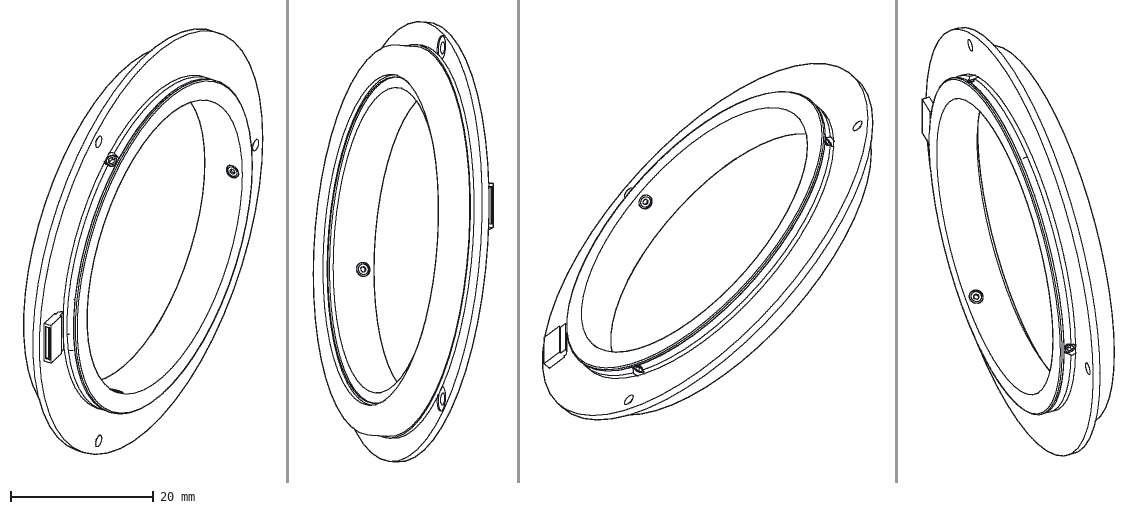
import cadquery as cq
import math

total_length = 7.0
flange_diameter = 62.0
flange_front = 3.7
flange_back = 4.8
spigot_diameter = 55.0
spigot_round = 0.3
shoulder_diameter = 55.5
shoulder_front = 3.15
hub_diameter = 49.0
hub_radius = hub_diameter / 2
rear_chamfer = 0.2
bore_diameter = 43.0

recess_diameter = 46.6
recess_depth = 0.6
inner_recess_diameter = 46.0
inner_recess_depth = 0.85

groove_depth = 0.5
groove_start = 5.45
groove_end = 6.5

direction_angles = [0, 120, 240]
flange_hole_diameter = 1.7
flange_hole_circle = 58.05
spotface_diameter = 3.4
spotface_depth = 0.2

screw_diameter = 2.0
screw_centre = 5.4
screw_chamfer = 0.25
screw_inner_radius = bore_diameter / 2
screw_outer_radius = hub_radius - groove_depth
screw_hole_overrun = 0.6
socket_across_corners = 1.05
socket_depth = 0.6
cup_diameter = 0.75
cup_depth = 0.3

chip_length = 6.3
chip_thickness = 1.1
chip_outer = -29.65
chip_inner = -26.7
lip_inner = -25.8
lip_front = flange_back + 0.2
lip_back = flange_back + 0.85
lip_tip_width = 0.3
lip_straight = 0.5

pocket_rim = 0.2
pocket_end_rim = 0.5
pocket_depth = 0.25
deep_pocket_depth = 0.5


def around_axis(shape, angle):
    return shape.rotate((0, 0, 0), (1, 0, 0), angle)


def radial_cylinder(inner_radius, outer_radius, diameter):
    plane = cq.Plane(origin=(screw_centre, inner_radius, 0), xDir=(1, 0, 0), normal=(0, 1, 0))
    return cq.Workplane(plane).circle(diameter / 2).extrude(outer_radius - inner_radius)


def make_turned_ring():
    groove_bottom = ((groove_start + groove_end) / 2, hub_radius - groove_depth)
    return (
        cq.Workplane("XY")
        .moveTo(0, recess_diameter / 2)
        .lineTo(0, spigot_diameter / 2 - spigot_round)
        .radiusArc((spigot_round, spigot_diameter / 2), spigot_round)
        .lineTo(shoulder_front, spigot_diameter / 2)
        .lineTo(shoulder_front, shoulder_diameter / 2)
        .lineTo(flange_front, shoulder_diameter / 2)
        .lineTo(flange_front, flange_diameter / 2)
        .lineTo(flange_back, flange_diameter / 2)
        .lineTo(flange_back, hub_radius)
        .lineTo(groove_start, hub_radius)
        .threePointArc(groove_bottom, (groove_end, hub_radius))
        .lineTo(total_length - rear_chamfer, hub_radius)
        .lineTo(total_length, hub_radius - rear_chamfer)
        .lineTo(total_length, bore_diameter / 2)
        .lineTo(inner_recess_depth, bore_diameter / 2)
        .lineTo(inner_recess_depth, inner_recess_diameter / 2)
        .lineTo(recess_depth, inner_recess_diameter / 2)
        .lineTo(recess_depth, recess_diameter / 2)
        .close()
        .revolve(360, (0, 0, 0), (1, 0, 0))
    )


def make_flange_hole():
    front = cq.Workplane("YZ", origin=(flange_front, 0, 0)).center(flange_hole_circle / 2, 0)
    hole = front.circle(flange_hole_diameter / 2).extrude(flange_back - flange_front)
    spotface = front.circle(spotface_diameter / 2).extrude(spotface_depth)
    return hole, spotface


def make_ring():
    ring = make_turned_ring()
    hole, spotface = make_flange_hole()
    screw_hole = radial_cylinder(screw_inner_radius - screw_hole_overrun, hub_radius, screw_diameter)
    for angle in direction_angles:
        for cutter in (hole, spotface, screw_hole):
            ring = ring.cut(around_axis(cutter, angle))
    return ring


def make_screw():
    screw = radial_cylinder(screw_inner_radius, screw_outer_radius, screw_diameter)
    screw = screw.faces("<Y or >Y").chamfer(screw_chamfer)
    screw = screw.faces("<Y").workplane().hole(cup_diameter, cup_depth)
    return screw.faces(">Y").workplane().polygon(6, socket_across_corners).cutBlind(-socket_depth)


def box_between(low, high):
    size = [b - a for a, b in zip(low, high)]
    return cq.Workplane("XY").box(*size, centered=False).translate(low)


def make_chip():
    chip_back = flange_back + chip_thickness
    chip_middle = flange_back + chip_thickness / 2
    pocket_end = chip_length / 2 - pocket_end_rim
    body = (
        cq.Workplane("XY", origin=(0, 0, -chip_length / 2))
        .moveTo(flange_back, chip_outer)
        .lineTo(chip_back, chip_outer)
        .lineTo(chip_back, chip_inner)
        .lineTo(lip_back, chip_inner)
        .lineTo(lip_back, lip_inner)
        .lineTo(lip_back - lip_tip_width, lip_inner)
        .lineTo(lip_front, chip_inner + lip_straight)
        .lineTo(lip_front, chip_inner)
        .lineTo(flange_back, chip_inner)
        .close()
        .extrude(chip_length)
    )
    pocket = box_between(
        (flange_back + pocket_rim, chip_outer, -pocket_end),
        (chip_back - pocket_rim, chip_outer + pocket_depth, pocket_end),
    )
    deep_pocket = box_between(
        (chip_middle, chip_outer, -pocket_end),
        (chip_back - pocket_rim, chip_outer + deep_pocket_depth, pocket_end),
    )
    return body.cut(pocket).cut(deep_pocket)


ring = make_ring()
screw = make_screw()
screws = [around_axis(screw, angle) for angle in direction_angles]
chip = make_chip()
result = cq.Compound.makeCompound([ring.val(), *[copy.val() for copy in screws], chip.val()])